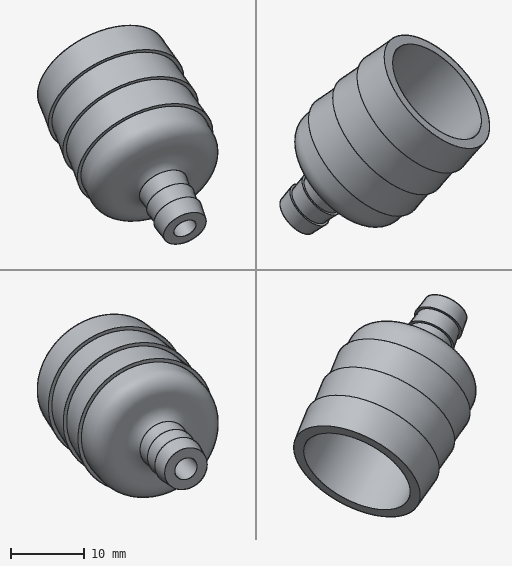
import cadquery as cq
import math

total_length = 29.2
pitch = total_length / 11.5
wall = 1.52
bore_diameter = 16.0
hole_diameter = 3.3
hose_barb_diameter = 20.1
spigot_barb_diameter = 7.07
neck_end_radius = 3.25
barb_count = 3

bore_radius = bore_diameter / 2
hole_radius = hole_diameter / 2
hose_radius = bore_radius + wall
spigot_radius = hole_radius + wall
hose_barb_radius = hose_barb_diameter / 2
spigot_barb_radius = spigot_barb_diameter / 2
hose_barb_length = 2 * pitch
round_radius = pitch
neck_length = pitch / 2
hose_barbs_end = barb_count * hose_barb_length
shoulder_round_start = hose_barbs_end + pitch
shoulder_face = shoulder_round_start + round_radius
spigot_start = shoulder_face + neck_length
neck_drop = math.sqrt(round_radius**2 - (round_radius - neck_length) ** 2)
neck_start_radius = neck_end_radius + neck_drop
floor = shoulder_face - wall


def outer_body():
    """Solid with large barbs, rounded shoulder, neck and small barbs."""
    profile = cq.Workplane("XY").lineTo(0, hose_radius)
    for i in range(barb_count):
        barb_end = (i + 1) * hose_barb_length
        profile = profile.lineTo(barb_end, hose_barb_radius).lineTo(barb_end, hose_radius)
    profile = (
        profile.lineTo(shoulder_round_start, hose_radius)
        .radiusArc((shoulder_face, hose_radius - round_radius), round_radius)
        .lineTo(shoulder_face, neck_start_radius)
        .radiusArc((spigot_start, neck_end_radius), -round_radius)
    )
    for i in range(barb_count):
        barb_start = spigot_start + i * pitch
        profile = profile.lineTo(barb_start, spigot_barb_radius).lineTo(barb_start + pitch, spigot_radius)
    return profile.lineTo(total_length, 0).close().revolve(360, (0, 0, 0), (1, 0, 0))


def inner_passage():
    """Bore with a rounded floor that funnels into the through hole."""
    return (
        cq.Workplane("XY")
        .lineTo(0, bore_radius)
        .lineTo(floor - round_radius, bore_radius)
        .radiusArc((floor, bore_radius - round_radius), round_radius)
        .lineTo(floor, hole_radius + round_radius)
        .radiusArc((floor + round_radius, hole_radius), -round_radius)
        .lineTo(total_length, hole_radius)
        .lineTo(total_length, 0)
        .close()
        .revolve(360, (0, 0, 0), (1, 0, 0))
    )


result = outer_body().cut(inner_passage())